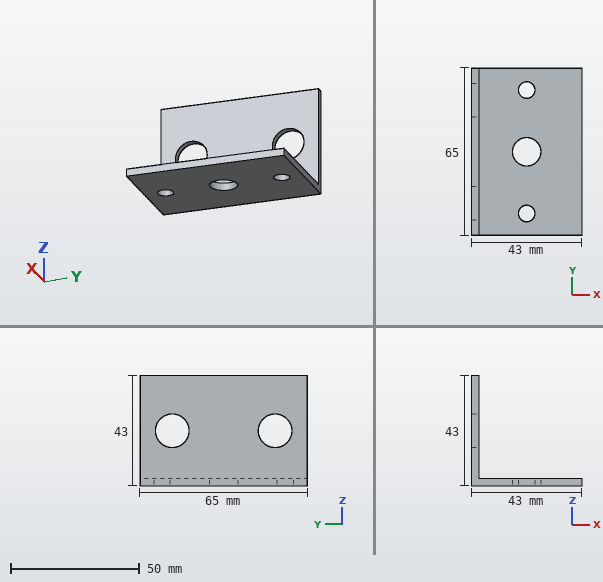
import cadquery as cq

length = 65.0
leg = 43.0
thickness = 3.0

base_center_diameter = 11.0
base_mount_diameter = 6.4
base_mount_spacing = 48.0

upright_diameter = 13.0
upright_spacing = 40.0

leg_middle = leg / 2


def angle_profile():
    """L-shaped body with its outer corner along the Y axis."""
    base = cq.Workplane("XY").box(leg, length, thickness, centered=(False, True, False))
    upright = cq.Workplane("XY").box(thickness, length, leg, centered=(False, True, False))
    return base.union(upright)


def base_hole(diameter, y):
    """Vertical cutter through the base plate."""
    return cq.Workplane("XY").center(leg_middle, y).circle(diameter / 2).extrude(thickness)


def upright_hole(diameter, y):
    """Cutter along X through the upright plate."""
    return cq.Workplane("YZ").center(y, leg_middle).circle(diameter / 2).extrude(thickness)


result = angle_profile().cut(base_hole(base_center_diameter, 0))
for side in (-1, 1):
    result = result.cut(base_hole(base_mount_diameter, side * base_mount_spacing / 2))
    result = result.cut(upright_hole(upright_diameter, side * upright_spacing / 2))